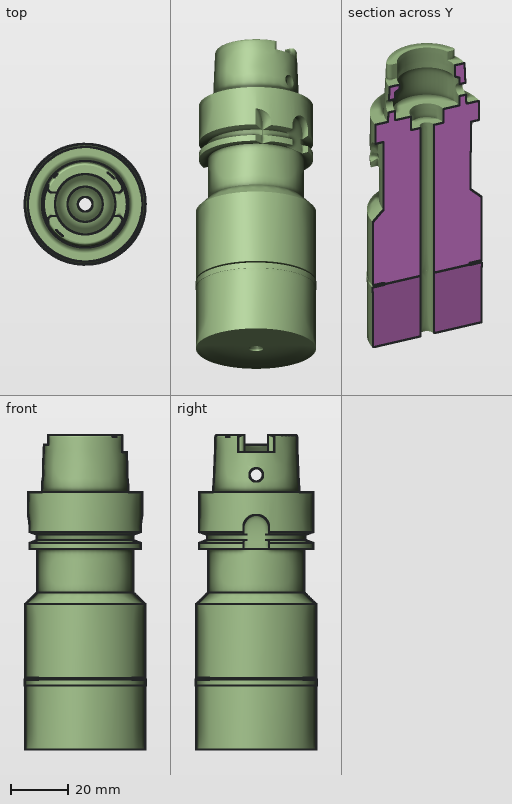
import cadquery as cq
import math

total_height = 110.0
collar_bottom = 22.4
collar_top = 24.4
relief_top = 25.1
barrel_top = 50.8
neck_bottom = 54.9
flange_bottom = 70.1
shank_length = 20.0
shoulder_height = total_height - shank_length

cap_radius = 21.0
barrel_radius = cap_radius
collar_radius = 21.18
relief_radius = 16.5
neck_radius = 16.8
flange_radius = 20.0

shank_base_radius = 15.2
shank_top_radius = 14.3
rim_fillet = 0.8

groove_radius = 17.3
groove_lower_edge = 72.2
groove_lower_root = 73.3
groove_upper_root = 75.1
groove_upper_edge = 76.1

coolant_hole_radius = 2.5
pocket_radius = 6.2
pocket_depth = 5.5
mouth_radius = 10.6
mouth_depth = 8.0
undercut_radius = 12.3
undercut_cone_length = 1.0

cross_hole_diameter = 4.6
cross_hole_height = 96.0

notch_width = 8.1
notch_corner_radius = 1.5
shallow_notch_depth = 3.4
deep_notch_depth = 6.0

key_slot_width = 9.0
key_slot_top = 82.1
key_slot_floor = 16.9
corner_notch_offset = 12.1


def revolve_profile(points):
    """Turn (radius, height) points about the Z axis."""
    return cq.Workplane("XZ").polyline(points).close().revolve(360, (0, 0), (0, 1))


def holder_blank():
    """Outer shape of the holder, solid inside, with a rounded top rim."""
    blank = revolve_profile([
        (0, collar_top),
        (relief_radius, collar_top),
        (relief_radius, relief_top),
        (barrel_radius, relief_top),
        (barrel_radius, barrel_top),
        (neck_radius, neck_bottom),
        (neck_radius, flange_bottom),
        (flange_radius, flange_bottom),
        (flange_radius, groove_lower_edge),
        (groove_radius, groove_lower_root),
        (groove_radius, groove_upper_root),
        (flange_radius, groove_upper_edge),
        (flange_radius, shoulder_height),
        (shank_base_radius, shoulder_height),
        (shank_top_radius, total_height),
        (0, total_height),
    ])
    return blank.faces(">Z").edges().fillet(rim_fillet)


def holder_bore():
    """Mouth, wider undercut chamber, central pocket and coolant hole."""
    undercut_start = total_height - mouth_depth
    pocket_floor = shoulder_height - pocket_depth
    return revolve_profile([
        (0, collar_top),
        (coolant_hole_radius, collar_top),
        (coolant_hole_radius, pocket_floor),
        (pocket_radius, pocket_floor),
        (pocket_radius, shoulder_height),
        (undercut_radius, shoulder_height),
        (undercut_radius, undercut_start - undercut_cone_length),
        (mouth_radius, undercut_start),
        (mouth_radius, total_height),
        (0, total_height),
    ])


def cross_hole():
    """Drill along X through both sides of the shank."""
    return (
        cq.Workplane("YZ")
        .center(0, cross_hole_height)
        .circle(cross_hole_diameter / 2)
        .extrude(shank_base_radius, both=True)
    )


def drive_notch(side, depth):
    """Rim notch on the +X (side = 1) or -X (side = -1) half, its mouth flared by rounded corners."""
    wall_y = notch_width / 2
    arc_y = wall_y + notch_corner_radius
    arc_reach = shank_top_radius - notch_corner_radius
    arc_x = math.sqrt(arc_reach**2 - arc_y**2)
    exit_scale = shank_top_radius / arc_reach
    exit_x = arc_x * exit_scale
    exit_y = arc_y * exit_scale
    middle_angle = (math.atan2(arc_y, arc_x) - math.pi / 2) / 2
    middle_x = arc_x + notch_corner_radius * math.cos(middle_angle)
    middle_y = arc_y + notch_corner_radius * math.sin(middle_angle)
    outer_x = flange_radius
    outer_y = exit_y * outer_x / exit_x
    return (
        cq.Workplane("XY", origin=(0, 0, total_height - depth))
        .moveTo(0, -wall_y)
        .lineTo(side * arc_x, -wall_y)
        .threePointArc((side * middle_x, -middle_y), (side * exit_x, -exit_y))
        .lineTo(side * outer_x, -outer_y)
        .lineTo(side * outer_x, outer_y)
        .lineTo(side * exit_x, exit_y)
        .threePointArc((side * middle_x, middle_y), (side * arc_x, wall_y))
        .lineTo(0, wall_y)
        .close()
        .extrude(depth)
    )


def key_slot(side, centre_y, floor_distance):
    """Round-topped slot through the flange rim, open at the bottom, with a flat floor normal to X."""
    radius = key_slot_width / 2
    arc_centre = key_slot_top - radius
    return (
        cq.Workplane("YZ", origin=(side * floor_distance, 0, 0))
        .moveTo(centre_y - radius, flange_bottom)
        .lineTo(centre_y - radius, arc_centre)
        .threePointArc((centre_y, key_slot_top), (centre_y + radius, arc_centre))
        .lineTo(centre_y + radius, flange_bottom)
        .close()
        .extrude(side * flange_radius)
    )


def make_holder():
    """Taper shank, flange, neck and barrel turned from one piece."""
    corner_notch_centre = corner_notch_offset + key_slot_width / 2
    holder = holder_blank().cut(holder_bore())
    holder = holder.cut(drive_notch(-1, shallow_notch_depth))
    holder = holder.cut(drive_notch(1, deep_notch_depth))
    holder = holder.cut(cross_hole())
    for side in (-1, 1):
        holder = holder.cut(key_slot(side, 0, key_slot_floor))
    return holder.cut(key_slot(-1, corner_notch_centre, corner_notch_offset))


def make_cap():
    """Plain cylinder with a slightly wider collar at its top end and a coolant hole."""
    return revolve_profile([
        (coolant_hole_radius, 0),
        (cap_radius, 0),
        (cap_radius, collar_bottom),
        (collar_radius, collar_bottom),
        (collar_radius, collar_top),
        (coolant_hole_radius, collar_top),
    ])


holder = make_holder()
cap = make_cap()
result = cq.Compound.makeCompound([holder.val(), cap.val()])